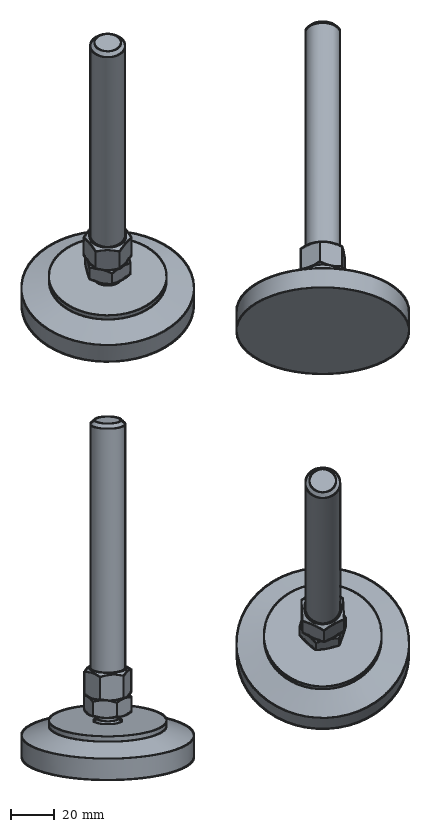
import cadquery as cq
import math

TOTAL_HEIGHT = 160.0

PLATE_DIAMETER = 79.0
PLATE_RIM_HEIGHT = 10.2
BOSS_DIAMETER = 54.0
CONE_TOP_Z = 14.7
PLATE_HEIGHT = 17.3
SOCKET_MOUTH_DIAMETER = 13.0

BALL_DIAMETER = 13.8
NECK_DIAMETER = 10.0
NECK_BOTTOM_Z = 18.2

HEX_ACROSS_FLATS = 19.0
HEX_CHAMFER_ANGLE = 30.0
STUD_HEX_BOTTOM_Z = 21.1
STUD_HEX_TOP_Z = 29.5
STUD_HEX_TURN = -16.3
ROD_HEX_TOP_Z = 42.2
ROD_HEX_TURN = 3.3
ROD_HEX_TOP_DIAMETER = 17.0

ROD_DIAMETER = 16.0
ROD_TIP_CHAMFER = 2.0

BALL_CENTRE_Z = NECK_BOTTOM_Z - math.sqrt(BALL_DIAMETER**2 - NECK_DIAMETER**2) / 2


def cylinder(diameter, bottom_z, top_z):
    return cq.Workplane("XY").workplane(offset=bottom_z).circle(diameter / 2).extrude(top_z - bottom_z)


def make_ball():
    return cq.Workplane("XY").sphere(BALL_DIAMETER / 2).translate((0, 0, BALL_CENTRE_Z))


def chamfered_hex(bottom_z, top_z, turn, bottom_face_diameter, top_face_diameter):
    """Hexagonal prism whose corners are trimmed by a cone at each end."""
    corner_radius = HEX_ACROSS_FLATS / math.sqrt(3)
    slope = math.tan(math.radians(HEX_CHAMFER_ANGLE))
    bottom_radius = bottom_face_diameter / 2
    top_radius = top_face_diameter / 2
    prism = (
        cq.Workplane("XY")
        .workplane(offset=bottom_z)
        .polygon(6, 2 * corner_radius)
        .extrude(top_z - bottom_z)
        .rotate((0, 0, 0), (0, 0, 1), turn)
    )
    envelope = (
        cq.Workplane("XZ")
        .moveTo(0, bottom_z)
        .lineTo(bottom_radius, bottom_z)
        .lineTo(corner_radius, bottom_z + (corner_radius - bottom_radius) * slope)
        .lineTo(corner_radius, top_z - (corner_radius - top_radius) * slope)
        .lineTo(top_radius, top_z)
        .lineTo(0, top_z)
        .close()
        .revolve(360, (0, 0, 0), (0, 1, 0))
    )
    return prism.intersect(envelope)


def make_foot_plate():
    """Round plate with a conical shoulder, a flat boss and a ball socket."""
    rim_radius = PLATE_DIAMETER / 2
    boss_radius = BOSS_DIAMETER / 2
    disc = (
        cq.Workplane("XZ")
        .lineTo(rim_radius, 0)
        .lineTo(rim_radius, PLATE_RIM_HEIGHT)
        .lineTo(boss_radius, CONE_TOP_Z)
        .lineTo(boss_radius, PLATE_HEIGHT)
        .lineTo(0, PLATE_HEIGHT)
        .close()
        .revolve(360, (0, 0, 0), (0, 1, 0))
    )
    mouth = cylinder(SOCKET_MOUTH_DIAMETER, BALL_CENTRE_Z, PLATE_HEIGHT)
    return disc.cut(make_ball()).cut(mouth)


def make_ball_stud():
    """Ball, neck and lower hexagon in one piece."""
    neck = cylinder(NECK_DIAMETER, BALL_CENTRE_Z, STUD_HEX_BOTTOM_Z)
    hexagon = chamfered_hex(
        STUD_HEX_BOTTOM_Z, STUD_HEX_TOP_Z, STUD_HEX_TURN, HEX_ACROSS_FLATS, HEX_ACROSS_FLATS
    )
    return make_ball().union(neck).union(hexagon)


def make_rod():
    """Rod with a chamfered tip, standing on the upper hexagon."""
    hexagon = chamfered_hex(
        STUD_HEX_TOP_Z, ROD_HEX_TOP_Z, ROD_HEX_TURN, HEX_ACROSS_FLATS, ROD_HEX_TOP_DIAMETER
    )
    shank = cylinder(ROD_DIAMETER, ROD_HEX_TOP_Z, TOTAL_HEIGHT)
    return hexagon.union(shank.faces(">Z").chamfer(ROD_TIP_CHAMFER))


foot_plate = make_foot_plate()
ball_stud = make_ball_stud()
rod = make_rod()

result = cq.Compound.makeCompound([foot_plate.val(), ball_stud.val(), rod.val()])